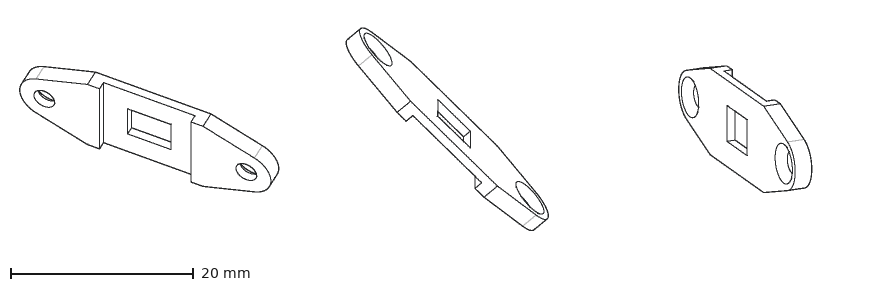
import cadquery as cq
import math

length = 30.48
thickness = 2.0
height = 10.0

end_radius = 3.0
hole_diameter = 2.5
countersink_diameter = 4.5
countersink_depth = (countersink_diameter - hole_diameter) / 2
hole_x = length / 2 - end_radius

straight_length = 14.02
recess_width = 11.1
recess_depth = 1.0
window_width = 5.25
window_height = 4.15

corner_x = straight_length / 2
corner_z = height / 2
corner_run = hole_x - corner_x
corner_distance = math.hypot(corner_run, corner_z)
tangent_angle = math.atan2(corner_z, -corner_run) - math.acos(end_radius / corner_distance)
tangent_x = hole_x + end_radius * math.cos(tangent_angle)
tangent_z = end_radius * math.sin(tangent_angle)

front_y = -thickness / 2
back_y = thickness / 2


def make_plate():
    """Symmetric plate outline with tapered sides and round ends."""
    return (
        cq.Workplane("XZ")
        .moveTo(-corner_x, corner_z)
        .lineTo(corner_x, corner_z)
        .lineTo(tangent_x, tangent_z)
        .threePointArc((length / 2, 0), (tangent_x, -tangent_z))
        .lineTo(corner_x, -corner_z)
        .lineTo(-corner_x, -corner_z)
        .lineTo(-tangent_x, -tangent_z)
        .threePointArc((-length / 2, 0), (-tangent_x, tangent_z))
        .close()
        .extrude(thickness / 2, both=True)
    )


def make_recess():
    """Full-height channel cut into the front (-Y) face."""
    return cq.Workplane("XY").box(recess_width, 2 * recess_depth, height).translate((0, front_y, 0))


def make_window():
    """Rectangular opening through the recess floor."""
    return cq.Workplane("XY").box(window_width, thickness, window_height)


def make_holes():
    """Mounting holes concentric with the round ends."""
    return (
        cq.Workplane("XZ")
        .pushPoints([(-hole_x, 0), (hole_x, 0)])
        .circle(hole_diameter / 2)
        .extrude(thickness / 2, both=True)
    )


def make_countersinks():
    """Conical seats around the mounting holes in the back (+Y) face."""
    return (
        cq.Workplane("XZ", origin=(0, back_y, 0))
        .pushPoints([(-hole_x, 0), (hole_x, 0)])
        .circle(countersink_diameter / 2)
        .extrude(countersink_depth, taper=45)
    )


result = make_plate().cut(make_recess()).cut(make_window()).cut(make_holes()).cut(make_countersinks())